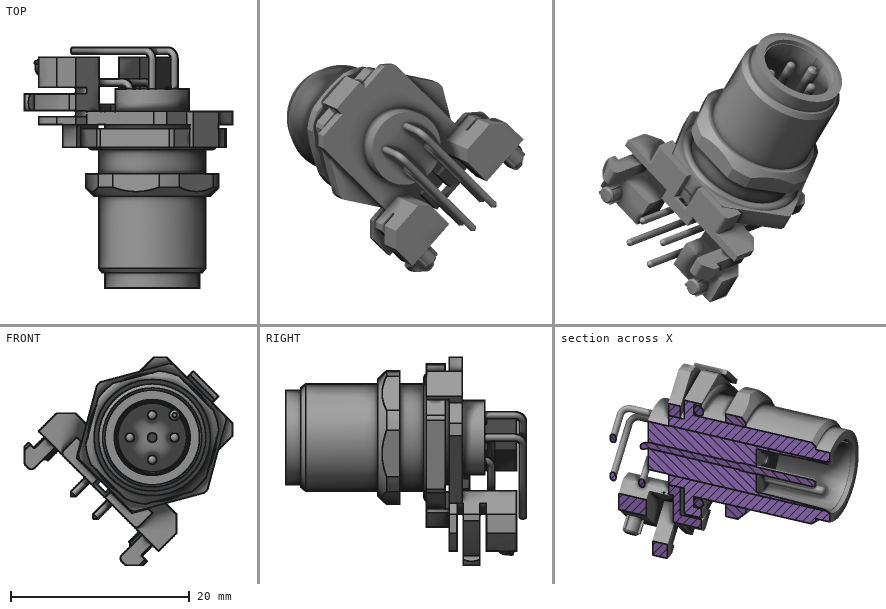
import cadquery as cq
import math

MOUNT_TURN = 45.0

NOSE_END = 1.7
LEAD_IN_END = 2.25
NUT_FRONT = 10.3
NUT_THICKNESS = 2.5
FLANGE_FRONT = 15.76
FLANGE_BACK = 17.85
PLATE_FRONT = 18.3
ARM_BACK = 19.2
PLATE_BACK = 19.8
SPINE_BACK = 20.6
BLOCK_FRONT = 22.48
BLOCK_BACK = 25.87
INSERT_BACK = 22.31

NOSE_DIA = 10.6
LEAD_IN_DIA = 11.1
BARREL_DIA = 12.0
TAIL_DIA = 10.6
MOUTH_DIA = 8.5
MOUTH_DEPTH = 0.5
BORE_DIA = 8.3
FLANGE_FLATS = 15.0
FLANGE_CORNER_DIA = 17.0

NUT_FLATS = 14.0
NUT_CORNER_DIA = 15.0
NUT_FACE_DIA = 13.0

RING_SECTION_DIA = 1.2
RING_PROUD = 0.28

CUP_RIM = MOUTH_DEPTH
CUP_RIM_DIA = 8.1
CUP_FLOOR_DIA = 7.7
CUP_FLOOR = 9.0
CENTRE_HOLE_DIA = 1.05
CENTRE_HOLE_DEPTH = 1.0
KEY_DIA = 1.2
KEY_CENTRE = 3.55
KEY_FRONT = 1.4
KEY_BEVEL = 0.35

PIN_PITCH_RADIUS = 2.5
PIN_OFFSET = PIN_PITCH_RADIUS / math.sqrt(2)
PIN_DIA = 1.0
PIN_FRONT = 1.75
PIN_TIP_ROUND = 0.4
PIN_STEP = 11.0
WIRE_DIA = 0.8
WIRE_BEND_RADIUS = 1.0
UPPER_WIRE_Y = 26.56
WIRE_ROW_SPACING = 2 * PIN_OFFSET
WIRE_END = -11.1
WIRE_TIP_BEVEL = 0.35

BOARD_FACE = -8.5
PLATE_HALF_WIDTH = 6.225
PLATE_TOP = 7.5
PLATE_BEVEL = 1.0
ARM_HALF_WIDTH = 9.5
ARM_TOP = -4.15
ARM_BEVEL = 1.5
BLOCK_INNER = 3.2
BLOCK_INNER_BEVEL = 1.05
BRIDGE_BOTTOM = -5.9
SLOT_CORNER_ROUND = 0.2
CRADLE_HALF_WIDTH = 6.0
CRADLE_TOP = -5.95
CRADLE_ROUND = 0.5
CRADLE_CLEARANCE = 0.1
CRADLE_SLOT_WIDTH = 2.0
CRADLE_SLOT_TOP = -7.5
SPINE_HALF_WIDTH = 2.24
SPINE_SLOT_WIDTH = 1.3
SPINE_SLOT_BOTTOM = -8.05
TAB_HALF_WIDTH = 2.0
TAB_TOP = 8.5
TAB_THICKNESS = 0.55

LEG_FRONT = 19.87
LEG_BACK = 21.76
LEG_INNER = 6.9
LEG_OUTER = 8.5
LEG_BOTTOM = -12.24
LEG_ROUND = 0.5
HOOK_TOP = -10.2
HOOK_OUTER = 9.4
HOOK_BEVEL = 1.4
HOOK_CROWN = 0.3
POST_X = 7.5
POST_Y = 24.75
POST_DIA = 1.9
POST_BOTTOM = -10.3
POST_BEVEL = 0.2
POST_RIBS = 3
POST_RIB_WIDTH = 0.35
POST_RIB_RADIUS = 1.15


def plane_at(y):
    """Sketch plane across the mating axis; sketch x is X and sketch y is Z."""
    return cq.Workplane("XZ", origin=(0, y, 0))


def box(x_range, y_range, z_range):
    (x0, x1), (y0, y1), (z0, z1) = x_range, y_range, z_range
    return cq.Workplane("XY").box(x1 - x0, y1 - y0, z1 - z0, centered=False).translate((x0, y0, z0))


def disc(dia, y0, y1):
    return plane_at(y0).circle(dia / 2).extrude(y0 - y1)


def hexagon(flats, y0, y1):
    """Hexagonal prism with flats at the top and bottom."""
    return plane_at(y0).polygon(6, flats / math.cos(math.pi / 6)).extrude(y0 - y1)


def outline(points, y0, y1):
    return plane_at(y0).polyline(points).close().extrude(y0 - y1)


def turned(points):
    """Body of revolution about the mating axis from (radius, y) points."""
    return cq.Workplane("XY").polyline(points).close().revolve(360, (0, 0, 0), (0, 1, 0))


def both_sides(solid):
    return solid.union(solid.mirror("YZ"))


ring_radius = (BARREL_DIA + RING_SECTION_DIA) / 2
ring_y = FLANGE_FRONT - RING_PROUD + RING_SECTION_DIA / 2
groove_floor = ring_y + RING_SECTION_DIA / 2


def make_ring():
    section = cq.Workplane("XY").center(ring_radius, ring_y).circle(RING_SECTION_DIA / 2)
    return section.revolve(360, (-ring_radius, 0, 0), (-ring_radius, 1, 0))


def make_housing():
    body = turned([
        (0, 0),
        (NOSE_DIA / 2, 0),
        (NOSE_DIA / 2, NOSE_END),
        (LEAD_IN_DIA / 2, NOSE_END),
        (BARREL_DIA / 2, LEAD_IN_END),
        (BARREL_DIA / 2, FLANGE_FRONT),
        (TAIL_DIA / 2, FLANGE_FRONT),
        (TAIL_DIA / 2, PLATE_BACK),
        (0, PLATE_BACK),
    ])
    flange = hexagon(FLANGE_FLATS, FLANGE_FRONT, FLANGE_BACK)
    flange = flange.intersect(disc(FLANGE_CORNER_DIA, FLANGE_FRONT, FLANGE_BACK))
    groove = disc(BARREL_DIA + 2 * RING_SECTION_DIA, FLANGE_FRONT, groove_floor)
    groove = groove.cut(disc(BARREL_DIA, FLANGE_FRONT, groove_floor))
    body = body.union(flange).cut(groove)
    mouth = turned([
        (0, 0),
        (MOUTH_DIA / 2, 0),
        (BORE_DIA / 2, MOUTH_DEPTH),
        (0, MOUTH_DEPTH),
    ])
    return body.cut(mouth).cut(disc(BORE_DIA, 0, PLATE_BACK))


def make_nut():
    back = NUT_FRONT + NUT_THICKNESS
    bevel = (NUT_CORNER_DIA - NUT_FACE_DIA) / 2
    envelope = turned([
        (BARREL_DIA / 2, NUT_FRONT),
        (NUT_FACE_DIA / 2, NUT_FRONT),
        (NUT_CORNER_DIA / 2, NUT_FRONT + bevel),
        (NUT_CORNER_DIA / 2, back),
        (BARREL_DIA / 2, back),
    ])
    return hexagon(NUT_FLATS, NUT_FRONT, back).intersect(envelope)


def make_pin(x, z, wire_y):
    contact = disc(PIN_DIA, PIN_FRONT, PIN_STEP).faces("<Y").edges().fillet(PIN_TIP_ROUND)
    contact = contact.translate((x, 0, z))
    bend_start = wire_y - WIRE_BEND_RADIUS
    bend_mid = WIRE_BEND_RADIUS * math.sqrt(0.5)
    path = (
        cq.Workplane("YZ", origin=(x, 0, 0))
        .moveTo(PIN_STEP, z)
        .lineTo(bend_start, z)
        .threePointArc(
            (bend_start + bend_mid, z - WIRE_BEND_RADIUS + bend_mid),
            (wire_y, z - WIRE_BEND_RADIUS),
        )
        .lineTo(wire_y, WIRE_END)
    )
    wire = plane_at(PIN_STEP).center(x, z).circle(WIRE_DIA / 2).sweep(path)
    wire = wire.faces("<Z").edges().chamfer(WIRE_TIP_BEVEL)
    return contact.union(wire)


def make_pins():
    """Two upper contacts with the long wires and two lower contacts with the short ones."""
    rows = [(PIN_OFFSET, UPPER_WIRE_Y), (-PIN_OFFSET, UPPER_WIRE_Y - WIRE_ROW_SPACING)]
    return [make_pin(x, z, wire_y) for z, wire_y in rows for x in (-PIN_OFFSET, PIN_OFFSET)]


def make_key():
    """Round-nosed polarizing rib joined to the cup wall."""
    rib = plane_at(KEY_FRONT).center(0, KEY_CENTRE).circle(KEY_DIA / 2).extrude(KEY_FRONT - CUP_FLOOR)
    rib = rib.faces("<Y").edges().chamfer(KEY_BEVEL)
    return rib.union(key_root(KEY_FRONT + KEY_BEVEL, CUP_FLOOR))


def key_root(y0, y1):
    """Key-wide strip that reaches from the centre of the key to the outside of the cup wall."""
    strip = box((-KEY_DIA / 2, KEY_DIA / 2), (y0, y1), (KEY_CENTRE, BORE_DIA / 2))
    return strip.intersect(disc(BORE_DIA, y0, y1))


def make_insert(pins):
    """Tapered cup lining the housing bore; its wall is notched in front of the key."""
    cavity = turned([
        (0, CUP_RIM),
        (CUP_RIM_DIA / 2, CUP_RIM),
        (CUP_FLOOR_DIA / 2, CUP_FLOOR),
        (0, CUP_FLOOR),
    ])
    body = disc(BORE_DIA, CUP_RIM, INSERT_BACK).cut(cavity)
    body = body.cut(key_root(CUP_RIM, KEY_FRONT + KEY_BEVEL))
    body = body.union(make_key().intersect(disc(BORE_DIA, KEY_FRONT, CUP_FLOOR)))
    body = body.cut(disc(CENTRE_HOLE_DIA, CUP_FLOOR, CUP_FLOOR + CENTRE_HOLE_DEPTH))
    for pin in pins:
        body = body.cut(pin)
    return body


def bracket_plate():
    plate = box((-PLATE_HALF_WIDTH, PLATE_HALF_WIDTH), (PLATE_FRONT, PLATE_BACK), (BRIDGE_BOTTOM, PLATE_TOP))
    plate = plate.edges("|Y and >Z").chamfer(PLATE_BEVEL)
    skirt = box((-PLATE_HALF_WIDTH, PLATE_HALF_WIDTH), (PLATE_FRONT, ARM_BACK), (BOARD_FACE, BRIDGE_BOTTOM))
    return plate.union(skirt)


def arm_outline(inner, bevel):
    """Right-hand arm, bevelled on its upper outer and upper inner corners."""
    return [
        (inner, BOARD_FACE),
        (ARM_HALF_WIDTH, BOARD_FACE),
        (ARM_HALF_WIDTH, ARM_TOP - ARM_BEVEL),
        (ARM_HALF_WIDTH - ARM_BEVEL, ARM_TOP),
        (inner + bevel, ARM_TOP),
        (inner, ARM_TOP - bevel),
    ]


def slot_corner(wall_y, into_slot):
    """Concave rounding between the end of a leg slot and one of its side walls."""
    size = SLOT_CORNER_ROUND
    block = cq.Workplane("XY", origin=(PLATE_HALF_WIDTH, wall_y, BRIDGE_BOTTOM))
    block = block.lineTo(size, 0).lineTo(size, into_slot * size).lineTo(0, into_slot * size).close()
    height = ARM_TOP - BRIDGE_BOTTOM
    hollow = cq.Workplane("XY", origin=(PLATE_HALF_WIDTH, wall_y, BRIDGE_BOTTOM))
    hollow = hollow.center(size, into_slot * size).circle(size).extrude(height)
    return block.extrude(height).cut(hollow)


def bracket_arms():
    """Front arms, rear blocks and the bridges that join the blocks to the plate."""
    shape = arm_outline(BLOCK_INNER, BLOCK_INNER_BEVEL)
    arm = outline(shape, PLATE_FRONT, ARM_BACK)
    block = outline(shape, BLOCK_FRONT, BLOCK_BACK)
    bridge = outline(shape, ARM_BACK, BLOCK_FRONT)
    bridge = bridge.intersect(
        box((BLOCK_INNER, PLATE_HALF_WIDTH), (ARM_BACK, BLOCK_FRONT), (BRIDGE_BOTTOM, ARM_TOP))
    )
    arm = arm.union(bridge).union(block)
    slot_walls = ((ARM_BACK, 1), (LEG_FRONT, -1), (LEG_BACK, 1), (BLOCK_FRONT, -1))
    for wall_y, into_slot in slot_walls:
        arm = arm.union(slot_corner(wall_y, into_slot))
    return both_sides(arm)


def bracket_legs():
    """Snap legs with hooks whose outer faces are crowned along Y."""
    width = LEG_BACK - LEG_FRONT
    hook_bottom = LEG_BOTTOM + HOOK_BEVEL
    leg = (
        plane_at(LEG_FRONT)
        .moveTo(PLATE_HALF_WIDTH, ARM_TOP)
        .lineTo(ARM_HALF_WIDTH - ARM_BEVEL, ARM_TOP)
        .lineTo(LEG_OUTER, ARM_TOP - LEG_OUTER + ARM_HALF_WIDTH - ARM_BEVEL)
        .lineTo(LEG_OUTER, HOOK_TOP)
        .lineTo(HOOK_OUTER, HOOK_TOP)
        .lineTo(HOOK_OUTER, hook_bottom)
        .lineTo(HOOK_OUTER - HOOK_BEVEL, LEG_BOTTOM)
        .lineTo(LEG_INNER, LEG_BOTTOM)
        .lineTo(LEG_INNER, BRIDGE_BOTTOM)
        .lineTo(PLATE_HALF_WIDTH, BRIDGE_BOTTOM)
        .close()
        .extrude(-width)
        .faces("<Z")
        .edges("|Y")
        .fillet(LEG_ROUND)
    )
    crown = (
        cq.Workplane("XY", origin=(0, 0, LEG_BOTTOM))
        .moveTo(0, LEG_FRONT)
        .lineTo(HOOK_OUTER - HOOK_CROWN, LEG_FRONT)
        .threePointArc((HOOK_OUTER, LEG_FRONT + width / 2), (HOOK_OUTER - HOOK_CROWN, LEG_BACK))
        .lineTo(0, LEG_BACK)
        .close()
        .extrude(ARM_TOP - LEG_BOTTOM)
    )
    return both_sides(leg.intersect(crown))


def bracket_posts():
    """Locating posts with three crush ribs each, one of them pointing to the front."""
    core = cq.Workplane("XY", origin=(0, 0, POST_BOTTOM)).circle(POST_DIA / 2)
    post = core.extrude(BOARD_FACE - POST_BOTTOM).faces("<Z").chamfer(POST_BEVEL)
    rib = box(
        (-POST_RIB_WIDTH / 2, POST_RIB_WIDTH / 2),
        (-POST_RIB_RADIUS, 0),
        (POST_BOTTOM + POST_BEVEL, BOARD_FACE),
    )
    for index in range(POST_RIBS):
        post = post.union(rib.rotate((0, 0, 0), (0, 0, 1), index * 360 / POST_RIBS))
    return both_sides(post.translate((POST_X, POST_Y, 0)))


def bracket_cradle():
    """Block in front of the plate that holds the lower half of the hexagonal flange."""
    cradle = box(
        (-CRADLE_HALF_WIDTH, CRADLE_HALF_WIDTH),
        (FLANGE_FRONT, PLATE_FRONT),
        (BOARD_FACE, CRADLE_TOP),
    )
    cradle = cradle.edges("|Y and <Z").fillet(CRADLE_ROUND)
    return cradle.cut(hexagon(FLANGE_FLATS + 2 * CRADLE_CLEARANCE, FLANGE_FRONT, PLATE_FRONT))


def bracket_tab():
    """Latch tab that reaches forward over the top of the flange."""
    riser = box((-TAB_HALF_WIDTH, TAB_HALF_WIDTH), (PLATE_FRONT, PLATE_BACK), (PLATE_TOP, TAB_TOP))
    reach = box(
        (-TAB_HALF_WIDTH, TAB_HALF_WIDTH),
        (FLANGE_FRONT, PLATE_FRONT),
        (TAB_TOP - TAB_THICKNESS, TAB_TOP),
    )
    return riser.union(reach)


def make_bracket():
    spine = box((-SPINE_HALF_WIDTH, SPINE_HALF_WIDTH), (ARM_BACK, SPINE_BACK), (BOARD_FACE, BRIDGE_BOTTOM))
    body = bracket_plate().union(bracket_arms()).union(bracket_cradle()).union(spine)
    body = body.union(bracket_legs()).union(bracket_posts()).union(bracket_tab())
    half_slot = CRADLE_SLOT_WIDTH / 2
    front_slot = box((-half_slot, half_slot), (FLANGE_FRONT, ARM_BACK), (BOARD_FACE, CRADLE_SLOT_TOP))
    half_slot = SPINE_SLOT_WIDTH / 2
    spine_slot = box((-half_slot, half_slot), (ARM_BACK, SPINE_BACK), (SPINE_SLOT_BOTTOM, 0))
    housing_hole = disc(TAIL_DIA, PLATE_FRONT, PLATE_BACK)
    return body.cut(front_slot).cut(spine_slot).cut(housing_hole)


def mounted(body):
    return body.rotate((0, 0, 0), (0, 1, 0), MOUNT_TURN)


pins = make_pins()
bodies = [make_housing(), make_nut(), make_ring(), make_insert(pins), make_bracket(), *pins]
result = cq.Compound.makeCompound([mounted(body).val() for body in bodies])